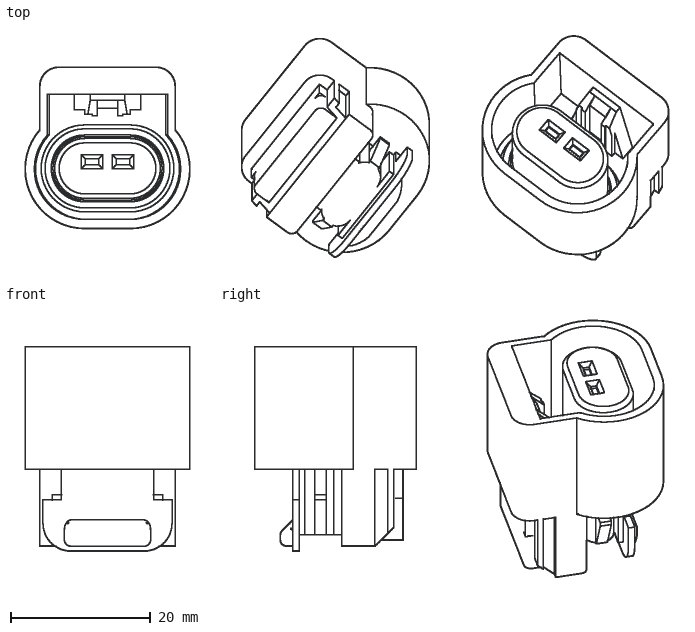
import cadquery as cq
import math


shroud_height = 17.6
oval_half_straight = 3.28
oval_radius = 8.53
box_half_width = 9.71
box_back_y = 14.6
box_corner_radius = 2.75

floor_z = 1.0
cavity_radius = 7.2
cavity_back_y = 10.71
pocket_half_width = 8.62
pocket_draft = 0.26
cavity_oval_draft = 0.18

plug_y = 0.1
collar_foot_radius = 6.22
collar_top_radius = 5.66
collar_top_z = 3.3
neck_foot_radius = 4.78
neck_top_radius = 4.54
neck_top_z = 4.3
plug_radius = 4.28
plug_top_z = 16.6
plug_chamfer = 0.63

terminal_x = 2.22
terminal_y = 1.06
terminal_mouth = (3.08, 2.02)
terminal_slot = (1.96, 0.88)
terminal_funnel_depth = 0.6
terminal_slot_depth = 1.0

latch_top_z = 13.86
latch_top_half_width = 2.47
latch_foot_half_width = 4.75
latch_ridge_y = 9.84
latch_body_front_y = 8.51
latch_arm_front_y = 7.84
latch_arm_half_width = 3.29
latch_rib_front_y = 7.63
latch_rib_half_width = 2.16
latch_nose_z = 11.7
latch_notch_half_width = 1.48
latch_notch_y = 8.73
latch_notch_z = 12.2

wing_front_y = 3.92
wing_back_y = 11.36
wing_bottom_z = -10.98
wing_corner_radius = 1.0
wing_bevel = 2.66
groove_front_y = 8.69
groove_back_y = 10.5
groove_depth = 0.75

rib_half_width = 8.0
rib_back_y = 12.73
rib_bottom_z = -10.1
rib_square_bottom_z = -4.1
rib_corner_radius = 1.04

housing_bottom_z = -9.35
barrel_front_y = -1.4
barrel_centre_y = 0.88
barrel_flat_inset = 0.16
barrel_half_width = 5.46
web_front_y = 2.82
web_half_width = 4.55
front_web_half_width = 6.05
catch_front_y = 0.06
catch_back_y = 1.7
catch_half_width = 7.94
catch_foot_half_width = 5.6
catch_top_z = -3.65
catch_edge_z = -4.3

tab_back_y = -2.15
tab_front_y = -3.09
tab_neck_half_width = 6.6
tab_half_width = 9.24
tab_shoulder_z = -4.35
tab_bottom_z = -11.7
tab_corner_radius = 4.0
grip_half_width = 6.17
grip_flat_half_width = 3.28
grip_front_y = -4.88
grip_side_y = -3.5
grip_side_bulge = 0.25
grip_top_z = -7.22
grip_crest_z = -9.0
grip_bottom_z = -10.98
grip_bottom_round = 0.9
grip_crest_round = 1.0
grip_end_round = 0.8


def block(half_width, front_y, back_y, bottom_z, top_z):
    """Box symmetric about the YZ plane."""
    size = (2 * half_width, back_y - front_y, top_z - bottom_z)
    return cq.Workplane("XY").box(*size, centered=(True, False, False)).translate((0, front_y, bottom_z))


def oval(radius, z):
    """Horizontal oval outline sharing the shroud's centre."""
    length = 2 * (oval_half_straight + radius)
    return cq.Workplane("XY").workplane(offset=z).slot2D(length, 2 * radius)


def tapered_oval(foot_radius, top_radius, foot_z, top_z):
    """Oval body narrowing from its foot to its top."""
    slope = math.degrees(math.atan2(foot_radius - top_radius, top_z - foot_z))
    return oval(foot_radius, foot_z).extrude(top_z - foot_z, taper=slope)


def side_profile(points, half_width):
    """Polygon of (y, z) points extruded symmetrically along X."""
    return cq.Workplane("YZ").polyline(points).close().extrude(half_width, both=True)


def shroud_body():
    box = block(box_half_width, 0, box_back_y, 0, shroud_height)
    box = box.edges("|Z and >Y").fillet(box_corner_radius)
    return oval(oval_radius, 0).extrude(shroud_height).union(box)


def cavity_outline(plane, half_straight, half_width):
    """Oval front with a straight-sided pocket reaching the back wall."""
    corner_y = math.sqrt(cavity_radius**2 - (half_width - half_straight) ** 2)
    end_x = half_straight + cavity_radius
    return (
        plane.moveTo(-half_width, cavity_back_y)
        .lineTo(-half_width, corner_y)
        .threePointArc((-end_x, 0), (-half_straight, -cavity_radius))
        .lineTo(half_straight, -cavity_radius)
        .threePointArc((end_x, 0), (half_width, corner_y))
        .lineTo(half_width, cavity_back_y)
        .close()
    )


def cavity():
    floor_plane = cq.Workplane("XY").workplane(offset=floor_z)
    floor_half_straight = oval_half_straight - cavity_oval_draft
    outline = cavity_outline(floor_plane, floor_half_straight, pocket_half_width - pocket_draft)
    rim_plane = outline.workplane(offset=shroud_height - floor_z)
    return cavity_outline(rim_plane, oval_half_straight, pocket_half_width).loft(ruled=True)


def terminal_opening(x):
    funnel = (
        cq.Workplane("XY").workplane(offset=plug_top_z - terminal_funnel_depth)
        .rect(*terminal_slot)
        .workplane(offset=terminal_funnel_depth)
        .rect(*terminal_mouth)
        .loft(ruled=True)
    )
    slot = cq.Workplane("XY").workplane(offset=plug_top_z - terminal_slot_depth)
    slot = slot.rect(*terminal_slot).extrude(terminal_slot_depth)
    return funnel.union(slot).translate((x, terminal_y, 0))


def plug():
    collar = tapered_oval(collar_foot_radius, collar_top_radius, floor_z, collar_top_z)
    neck = tapered_oval(neck_foot_radius, neck_top_radius, collar_top_z, neck_top_z)
    core = oval(plug_radius, 0).extrude(plug_top_z)
    core = core.faces(">Z").chamfer(plug_chamfer)
    body = collar.union(neck).union(core).translate((0, plug_y, 0))
    for x in (-terminal_x, terminal_x):
        body = body.cut(terminal_opening(x))
    return body


def latch():
    flared = (
        cq.Workplane("XZ", origin=(0, cavity_back_y, 0))
        .moveTo(-latch_foot_half_width, floor_z)
        .lineTo(-latch_top_half_width, latch_top_z)
        .lineTo(latch_top_half_width, latch_top_z)
        .lineTo(latch_foot_half_width, floor_z)
        .close()
        .extrude(cavity_back_y - latch_rib_front_y)
    )
    steps = block(latch_foot_half_width, latch_body_front_y, cavity_back_y, floor_z, latch_top_z)
    steps = steps.union(block(latch_arm_half_width, latch_arm_front_y, cavity_back_y, floor_z, latch_top_z))
    steps = steps.union(block(latch_rib_half_width, latch_rib_front_y, cavity_back_y, floor_z, latch_top_z))
    sloped = side_profile(
        [
            (cavity_back_y, floor_z),
            (cavity_back_y, latch_top_z),
            (latch_ridge_y, latch_top_z),
            (latch_rib_front_y, latch_nose_z),
            (latch_rib_front_y, floor_z),
        ],
        latch_foot_half_width,
    )
    notch = side_profile(
        [
            (latch_ridge_y, latch_top_z),
            (latch_notch_y, latch_notch_z),
            (latch_notch_y, floor_z),
            (latch_rib_front_y, floor_z),
            (latch_rib_front_y, latch_top_z),
        ],
        latch_notch_half_width,
    )
    return flared.intersect(steps).intersect(sloped).cut(notch)


def wing_block():
    body = block(box_half_width, wing_front_y, wing_back_y, wing_bottom_z, floor_z)
    body = body.edges("|Z and <Y").fillet(wing_corner_radius)
    body = body.edges(">Y and <Z").chamfer(wing_bevel)
    groove = block(groove_depth, groove_front_y, groove_back_y, wing_bottom_z, 0)
    for side in (-1, 1):
        body = body.cut(groove.translate((side * box_half_width, 0, 0)))
    return body


def rear_rib():
    lower = block(rib_half_width, wing_front_y, rib_back_y, rib_bottom_z, rib_square_bottom_z)
    lower = lower.edges("|Z and >Y").fillet(rib_corner_radius)
    return lower.union(block(rib_half_width, wing_front_y, rib_back_y, rib_square_bottom_z, floor_z))


def terminal_housing():
    flat_half_width = barrel_half_width - barrel_flat_inset
    barrel_radius = barrel_centre_y - barrel_front_y
    barrel = cq.Workplane("XY", origin=(0, barrel_centre_y, housing_bottom_z))
    barrel = barrel.slot2D(2 * barrel_half_width, 2 * barrel_radius).extrude(floor_z - housing_bottom_z)
    barrel = barrel.intersect(block(flat_half_width, barrel_front_y, wing_front_y, housing_bottom_z, floor_z))
    rear_web = block(web_half_width, web_front_y, wing_front_y, housing_bottom_z, floor_z)
    front_web = block(front_web_half_width, tab_back_y, barrel_front_y, housing_bottom_z, floor_z)
    return barrel.union(rear_web).union(front_web)


def catches():
    """Side catches with flat tops, tapering down into the barrel ends."""
    return (
        cq.Workplane("XZ", origin=(0, catch_back_y, 0))
        .moveTo(-catch_half_width, catch_top_z)
        .lineTo(catch_half_width, catch_top_z)
        .lineTo(catch_half_width, catch_edge_z)
        .lineTo(catch_foot_half_width, housing_bottom_z)
        .lineTo(-catch_foot_half_width, housing_bottom_z)
        .lineTo(-catch_half_width, catch_edge_z)
        .close()
        .extrude(catch_back_y - catch_front_y)
    )


def tab():
    plate = block(tab_half_width, tab_front_y, tab_back_y, tab_bottom_z, tab_shoulder_z)
    plate = plate.edges("|Y and <Z").fillet(tab_corner_radius)
    return plate.union(block(tab_neck_half_width, tab_front_y, tab_back_y, tab_shoulder_z, floor_z))


def grip():
    """Finger grip: a sloped top, a rounded underside and bowed ends."""
    profile = side_profile(
        [
            (tab_back_y, grip_top_z),
            (tab_front_y, grip_top_z),
            (grip_front_y, grip_crest_z),
            (grip_front_y, grip_bottom_z),
            (tab_back_y, grip_bottom_z),
        ],
        grip_half_width,
    )
    bow_x = (grip_flat_half_width + grip_half_width) / 2
    bow_y = (grip_front_y + grip_side_y) / 2 - grip_side_bulge
    plan = (
        cq.Workplane("XY").workplane(offset=grip_bottom_z)
        .moveTo(-grip_half_width, tab_back_y)
        .lineTo(-grip_half_width, grip_side_y)
        .threePointArc((-bow_x, bow_y), (-grip_flat_half_width, grip_front_y))
        .lineTo(grip_flat_half_width, grip_front_y)
        .threePointArc((bow_x, bow_y), (grip_half_width, grip_side_y))
        .lineTo(grip_half_width, tab_back_y)
        .close()
        .extrude(grip_top_z - grip_bottom_z)
    )
    body = profile.intersect(plan)
    body = body.edges("|Z and (not >Y)").fillet(grip_end_round)
    body = body.faces("<Z").edges("not >Y").fillet(grip_bottom_round)
    crest = cq.selectors.BoxSelector(
        (-grip_half_width, grip_front_y - grip_end_round, grip_crest_z - grip_end_round),
        (grip_half_width, tab_front_y - grip_end_round, grip_top_z),
    )
    return body.edges(crest).fillet(grip_crest_round)


result = shroud_body().cut(cavity())
for feature in (plug, latch, wing_block, rear_rib, terminal_housing, catches, tab, grip):
    result = result.union(feature())